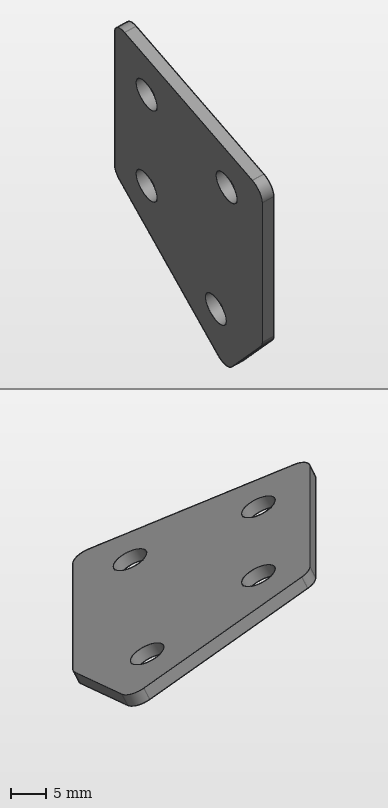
import cadquery as cq
import math

width = 37.0
height = 50.2
thickness = 2.0
corner_radius = 2.5
hole_diameter = 5.2
hole_pitch = 20.0
side_margin = 8.05
edge_margin = 8.55
slope = math.radians(30)

sin_slope = math.sin(slope)
cos_slope = math.cos(slope)

tip_drop = (
    (edge_margin - corner_radius) * cos_slope
    + (side_margin - corner_radius) * sin_slope
    + corner_radius
)
end_hole_x = side_margin + hole_pitch * cos_slope
end_hole_z = tip_drop - height
lower_hole_z = end_hole_z + hole_pitch * sin_slope

hole_centres = [
    (side_margin, -edge_margin),
    (side_margin + hole_pitch, -edge_margin),
    (side_margin, lower_hole_z),
    (end_hole_x, end_hole_z),
]

tip_x = end_hole_x - edge_margin * sin_slope + side_margin * cos_slope
tip_z = end_hole_z - edge_margin * cos_slope - side_margin * sin_slope
left_corner_z = tip_z + tip_x * math.tan(slope)
right_corner_z = tip_z + (width - tip_x) / math.tan(slope)

outline = [
    (0, 0),
    (width, 0),
    (width, right_corner_z),
    (tip_x, tip_z),
    (0, left_corner_z),
]

plate = cq.Workplane("XZ").polyline(outline).close().extrude(thickness)
plate = plate.edges("|Y").fillet(corner_radius)

holes = (
    cq.Workplane("XZ")
    .pushPoints(hole_centres)
    .circle(hole_diameter / 2)
    .extrude(thickness)
)

result = plate.cut(holes)